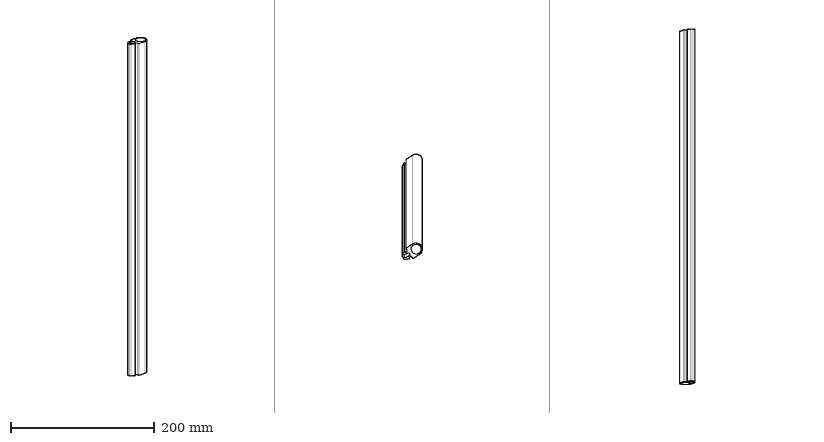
import cadquery as cq
import math

length = 500.0
width = 18.0
depth = 31.0
half_width = width / 2
back_y = depth / 2
front_y = -depth / 2

bulb_center_y = back_y - half_width
bore_radius = 7.0
bore_back_wall = 1.75
bore_center_y = back_y - bore_back_wall - bore_radius

shoulder_y = -4.75
shoulder_fillet = 0.75
stem_half_width = 4.25
root_fillet = 1.5

barb_overhang = 2.0
barb_half_width = stem_half_width + barb_overhang
barb_top_y = -8.5
barb_edge = 1.25
barb_fillet = 0.5
barb_taper = math.radians(60)
nose_fillet = 2.25

taper_start_y = barb_top_y - barb_edge
nose_half_width = barb_half_width - (taper_start_y - front_y) / math.tan(barb_taper)

slot_width = 4.75
slot_top_y = -4.5
slot_bottom_y = -13.5
slot_length = slot_top_y - slot_bottom_y
slot_center_y = (slot_top_y + slot_bottom_y) / 2


def base_plane(center_y):
    """Sketch plane at the lower end of the seal, centred on the given Y."""
    return cq.Workplane("XY", origin=(0, center_y, -length / 2))


def make_body():
    """Sharp-cornered outer profile, extruded over the full length."""
    right_corners = [
        (half_width, shoulder_y),
        (stem_half_width, shoulder_y),
        (stem_half_width, barb_top_y),
        (barb_half_width, barb_top_y),
        (barb_half_width, taper_start_y),
        (nose_half_width, front_y),
    ]
    left_corners = [(-x, y) for x, y in reversed(right_corners)]
    profile = (
        base_plane(0)
        .moveTo(-half_width, bulb_center_y)
        .threePointArc((0, back_y), (half_width, bulb_center_y))
    )
    for x, y in right_corners + left_corners:
        profile = profile.lineTo(x, y)
    return profile.close().extrude(length)


def fillet_edge_pair(body, x, y, radius):
    """Round the two lengthwise edges at (x, y) and (-x, y)."""
    tolerance = 0.05

    def is_in_pair(edge):
        center = edge.Center()
        return abs(abs(center.x) - x) < tolerance and abs(center.y - y) < tolerance

    return body.edges("|Z").filter(is_in_pair).fillet(radius)


def round_corners(body):
    body = fillet_edge_pair(body, half_width, shoulder_y, shoulder_fillet)
    body = fillet_edge_pair(body, stem_half_width, shoulder_y, root_fillet)
    body = fillet_edge_pair(body, stem_half_width, barb_top_y, barb_fillet)
    return fillet_edge_pair(body, nose_half_width, front_y, nose_fillet)


def make_bore():
    return base_plane(bore_center_y).circle(bore_radius).extrude(length)


def make_slot():
    along_y = 90
    return base_plane(slot_center_y).slot2D(slot_length, slot_width, along_y).extrude(length)


result = round_corners(make_body()).cut(make_bore()).cut(make_slot())